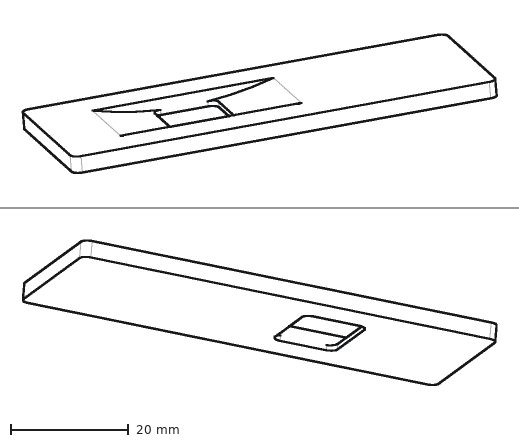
import cadquery as cq
import math

outer_length = 76.2
plate_width = 28.95
plate_thickness = 3.0
tilt = 5.0
tilt_radians = math.radians(tilt)
plate_length = (outer_length - plate_thickness * math.sin(tilt_radians)) / math.cos(tilt_radians)
corner_radius = 3.0 / 2

recess_length = 32.45
recess_width = 15.4
recess_radius = 60.9
opening_length = 11.4
opening_width = 15.4
recess_from_low_end = 27.0
recess_y = recess_from_low_end - plate_length / 2


def make_plate():
    """Flat plate with rounded corners, its top face at Z = 0."""
    plate = cq.Workplane("XY").box(plate_width, plate_length, plate_thickness, centered=(True, True, False))
    return plate.edges("|Z").fillet(corner_radius).translate((0, 0, -plate_thickness))


def make_recess():
    """Cylinder segment across X that dishes the top face."""
    half_length = recess_length / 2
    sagitta = recess_radius - math.sqrt(recess_radius**2 - half_length**2)
    return (
        cq.Workplane("YZ")
        .moveTo(recess_y - half_length, 0)
        .threePointArc((recess_y, -sagitta), (recess_y + half_length, 0))
        .close()
        .extrude(recess_width / 2, both=True)
    )


def make_opening():
    """Rounded rectangular opening, centred on the recess."""
    opening = cq.Workplane("XY").box(
        opening_width, opening_length, plate_thickness, centered=(True, True, False)
    )
    return opening.edges("|Z").fillet(corner_radius).translate((0, recess_y, -plate_thickness))


flat_part = make_plate().cut(make_recess()).cut(make_opening())

result = flat_part.rotate((0, 0, 0), (1, 0, 0), tilt)